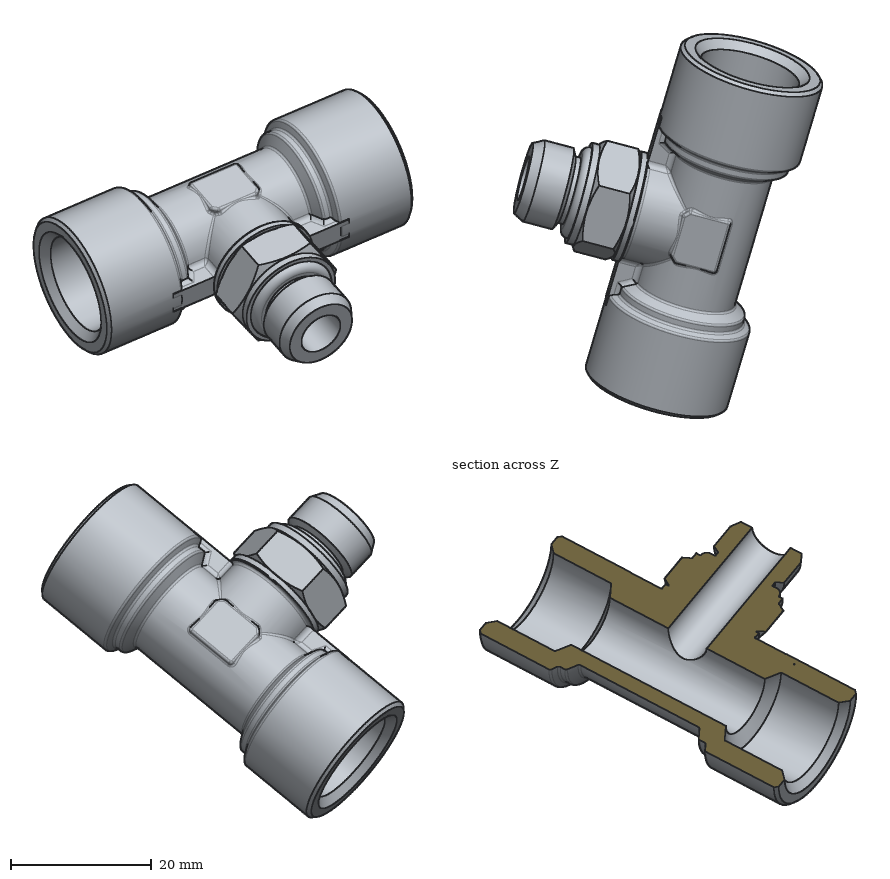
import cadquery as cq
import math

run_length = 51.0
run_radius = 14.8 / 2
run_bore_radius = 10.0 / 2
socket_radius = 21.0 / 2
socket_length = 12.35
socket_end_chamfer = 0.5
collar_radius = 9.25
collar_start = 12.95
collar_end = 14.2
run_start = 15.25
shoulder_fillet = 0.4
shoulder_overlap = 0.5
joining_tolerance = 1e-4
shoulder_inset = 0.1

thread_bore_radius = 14.5 / 2
thread_bore_depth = 11.0
bore_cone_angle = 60.0
mouth_radius = 8.45
mouth_angle = 45.0

branch_length = 26.7
branch_radius = 14.8 / 2
branch_bore_radius = 6.5 / 2
flange_start = 10.45
flange_radius = 16.0 / 2
flange_round = 0.15
branch_root_fillet = flange_radius - flange_round - branch_radius
hex_start = 11.45
hex_end = 17.45
hex_across_flats = 15.0
hex_chamfer_radius = 7.4
hex_chamfer_angle = 30.0
washer_radius = 14.8 / 2
washer_end = 18.5
seal_seat_radius = 13.4 / 2
seal_seat_end = 19.6
relief_radius = 9.8 / 2
relief_end = 20.3
spigot_radius = 12.0 / 2
spigot_start = 20.9
spigot_tip_start = 25.2
spigot_tip_radius = 5.2
junction_fillet = 0.4

web_half_thickness = 1.75
web_fillet = 1.0
web_overlap = 1.5

pad_x_min = -2.9
pad_x_max = 4.1
pad_width = 8.2
pad_height = 7.5
pad_base_height = 5.5
pad_corner_chamfer = 0.9
pad_corner_round = 0.5
pad_edge_fillet = 0.4

run_end = run_length / 2
hex_circumradius = hex_across_flats / 2 / math.cos(math.radians(30))


def round_shoulder(body, position, radius):
    """Fillet the circles of one radius around the run axis, at +position and -position along it."""
    tolerance = 0.01
    found = [
        edge
        for edge in body.edges("%CIRCLE").vals()
        if abs(edge.radius() - radius) < tolerance
        and abs(abs(edge.arcCenter().y) - position) < tolerance
    ]
    return body.newObject(found).fillet(shoulder_fillet)


def revolve_about_run(half_profile):
    return cq.Workplane("XY").polyline(half_profile).close().revolve(360, (0, 0), (0, 1))


def make_socket():
    """Socket and collar at the +Y end, with the cone that leads down to the run."""
    body = revolve_about_run([
        (0, run_end - run_start - shoulder_overlap),
        (run_radius, run_end - run_start - shoulder_overlap),
        (run_radius, run_end - run_start),
        (collar_radius, run_end - collar_end),
        (collar_radius, run_end - collar_start),
        (socket_radius, run_end - socket_length),
        (socket_radius, run_end - socket_end_chamfer),
        (socket_radius - socket_end_chamfer, run_end),
        (0, run_end),
    ])
    body = round_shoulder(body, run_end - run_start, run_radius)
    body = round_shoulder(body, run_end - collar_end, collar_radius)
    body = round_shoulder(body, run_end - collar_start, collar_radius)
    return round_shoulder(body, run_end - socket_length, socket_radius)


def make_junction():
    """Middle of the run with the branch root and webs; its ends lie inside the socket pieces."""
    reach = run_end - socket_length + web_overlap
    half = revolve_about_run([
        (0, 0),
        (run_radius, 0),
        (run_radius, run_end - run_start + shoulder_inset),
        (collar_radius - shoulder_inset, run_end - collar_end + shoulder_inset),
        (collar_radius - shoulder_inset, reach),
        (0, reach),
    ])
    branch_root = cq.Workplane("YZ").circle(branch_radius).extrude(flange_start)
    webs = cq.Workplane("XY").box(
        flange_start, 2 * reach, 2 * web_half_thickness, centered=(False, True, True)
    )
    body = half.union(half.mirror("XZ")).clean().union(branch_root).union(webs)
    return body.newObject(web_root_edges(body, reach)).fillet(web_fillet)


def web_root_edges(body, reach):
    """Edges where the flat web faces meet the run, its shoulders and the branch."""
    tolerance = 0.01
    found = []
    for edge in body.edges().vals():
        box = edge.BoundingBox()
        on_web_face = box.zlen < tolerance and abs(abs(edge.Center().z) - web_half_thickness) < tolerance
        on_outer_side = box.xmin > flange_start - tolerance
        on_web_end = max(-box.ymin, box.ymax) > reach - tolerance and box.ylen < tolerance
        if on_web_face and not on_outer_side and not on_web_end:
            found.append(edge)
    return found


def make_hex():
    body = (
        cq.Workplane("YZ", origin=(hex_start, 0, 0))
        .polygon(6, 2 * hex_circumradius)
        .extrude(hex_end - hex_start)
    )
    drop = (hex_circumradius - hex_chamfer_radius) * math.tan(math.radians(hex_chamfer_angle))
    envelope = (
        cq.Workplane("XY")
        .polyline([
            (hex_start, 0),
            (hex_start, hex_chamfer_radius),
            (hex_start + drop, hex_circumradius),
            (hex_end - drop, hex_circumradius),
            (hex_end, hex_chamfer_radius),
            (hex_end, 0),
        ])
        .close()
        .revolve(360, (0, 0), (1, 0))
    )
    return body.intersect(envelope)


def make_flange():
    body = (
        cq.Workplane("XY")
        .moveTo(flange_start - branch_root_fillet, 0)
        .lineTo(flange_start - branch_root_fillet, branch_radius)
        .radiusArc((flange_start, branch_radius + branch_root_fillet), -branch_root_fillet)
        .radiusArc((flange_start + flange_round, flange_radius), flange_round)
        .lineTo(hex_start, flange_radius)
        .lineTo(hex_start, 0)
        .close()
        .revolve(360, (0, 0), (1, 0))
    )
    return body


def make_spigot():
    seal_round = seal_seat_end - washer_end
    return (
        cq.Workplane("XY")
        .moveTo(hex_end, 0)
        .lineTo(hex_end, washer_radius)
        .lineTo(washer_end, washer_radius)
        .lineTo(washer_end, seal_seat_radius)
        .radiusArc((seal_seat_end, seal_seat_radius - seal_round), seal_round)
        .lineTo(seal_seat_end, relief_radius)
        .lineTo(relief_end, relief_radius)
        .lineTo(spigot_start, spigot_radius)
        .lineTo(spigot_tip_start, spigot_radius)
        .lineTo(branch_length, spigot_tip_radius)
        .lineTo(branch_length, 0)
        .close()
        .revolve(360, (0, 0), (1, 0))
    )


def make_pad():
    pad_length = pad_x_max - pad_x_min
    body = (
        cq.Workplane("XY", origin=((pad_x_min + pad_x_max) / 2, 0, pad_base_height))
        .rect(pad_length, pad_width)
        .extrude(pad_height - pad_base_height)
    )
    body = body.edges("|Z and >X").chamfer(pad_corner_chamfer)
    body = body.edges("|Z").fillet(pad_corner_round)
    return body.faces(">Z").edges().fillet(pad_edge_fillet)


def make_run_bore():
    cone_depth = (thread_bore_radius - run_bore_radius) / math.tan(math.radians(bore_cone_angle))
    mouth_depth = (mouth_radius - thread_bore_radius) / math.tan(math.radians(mouth_angle))
    half_profile = [
        (0, 0),
        (run_bore_radius, 0),
        (run_bore_radius, run_end - thread_bore_depth - cone_depth),
        (thread_bore_radius, run_end - thread_bore_depth),
        (thread_bore_radius, run_end - mouth_depth),
        (mouth_radius, run_end),
        (0, run_end),
    ]
    half = revolve_about_run(half_profile)
    return half.union(half.mirror("XZ"))


def make_branch_bore():
    return cq.Workplane("YZ").circle(branch_bore_radius).extrude(branch_length)


def round_valleys(body):
    """Fillet the mitre curves where the run meets the branch beside the pads."""
    valleys = [
        edge
        for edge in body.edges("%ELLIPSE").vals()
        if 0 < edge.BoundingBox().xmin and edge.BoundingBox().xmax < run_radius
    ]
    return body.newObject(valleys).fillet(junction_fillet)


socket = make_socket()
pad = make_pad()
junction = round_valleys(make_junction().union(pad).union(pad.mirror("XY")))
result = (
    junction
    .union(socket, tol=joining_tolerance)
    .union(socket.mirror("XZ"), tol=joining_tolerance)
    .union(make_flange())
    .union(make_hex())
    .union(make_spigot())
    .cut(make_run_bore())
    .cut(make_branch_bore())
)